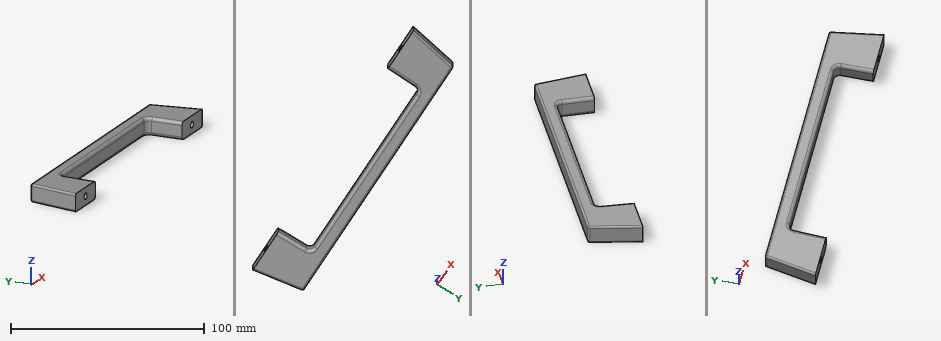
import cadquery as cq
import math

length = 153.0
depth = 28.0
thickness = 10.0

end_taper_angle = 10.0
back_corner_radius = 1.2
grip_depth = 7.8
opening_front_width = 104.2
opening_back_width = 103.3
opening_corner_radius = 3.0

outer_edge_radius = 1.0
opening_edge_radius = 1.8

hole_spacing = 128.0
hole_diameter = 3.4
hole_depth = 12.2
drill_tip_angle = 118.0

front_y = -depth / 2
back_y = depth / 2
opening_back_y = back_y - grip_depth
half_thickness = thickness / 2
end_setback = depth * math.tan(math.radians(end_taper_angle))
selection_margin = 0.08


def handle_blank():
    """Tapered bow handle with square upper and lower edges."""
    foot_x = length / 2
    back_x = foot_x - end_setback
    opening_front_x = opening_front_width / 2
    opening_back_x = opening_back_width / 2
    blank = (
        cq.Workplane("XY", origin=(0, 0, -half_thickness))
        .polyline([
            (-foot_x, front_y),
            (-back_x, back_y),
            (back_x, back_y),
            (foot_x, front_y),
            (opening_front_x, front_y),
            (opening_back_x, opening_back_y),
            (-opening_back_x, opening_back_y),
            (-opening_front_x, front_y),
        ])
        .close()
        .extrude(thickness)
    )
    blank = blank.edges("|Z and >Y").fillet(back_corner_radius)
    inner_corners = cq.selectors.BoxSelector(
        (-opening_back_x - selection_margin, opening_back_y - selection_margin, -thickness),
        (opening_back_x + selection_margin, opening_back_y + selection_margin, thickness),
    )
    return blank.edges("|Z").edges(inner_corners).fillet(opening_corner_radius)


def round_rims(body):
    """Round the upper and lower rims, leaving the mounting faces flat."""
    for rim_y, radius in ((back_y, outer_edge_radius), (opening_back_y, opening_edge_radius)):
        for rim_z in (-half_thickness, half_thickness):
            rim = cq.selectors.NearestToPointSelector((0, rim_y, rim_z))
            body = body.edges(rim).fillet(radius)
    return body


def mounting_holes():
    """Blind drilled holes with conical ends, running back from the mounting faces."""
    hole_radius = hole_diameter / 2
    tip_depth = hole_radius / math.tan(math.radians(drill_tip_angle / 2))
    hole = (
        cq.Workplane("XY")
        .polyline([
            (0, front_y),
            (hole_radius, front_y),
            (hole_radius, front_y + hole_depth),
            (0, front_y + hole_depth + tip_depth),
        ])
        .close()
        .revolve(360, (0, 0, 0), (0, 1, 0))
    )
    left_hole = hole.translate((-hole_spacing / 2, 0, 0))
    right_hole = hole.translate((hole_spacing / 2, 0, 0))
    return left_hole.union(right_hole)


result = round_rims(handle_blank()).cut(mounting_holes())